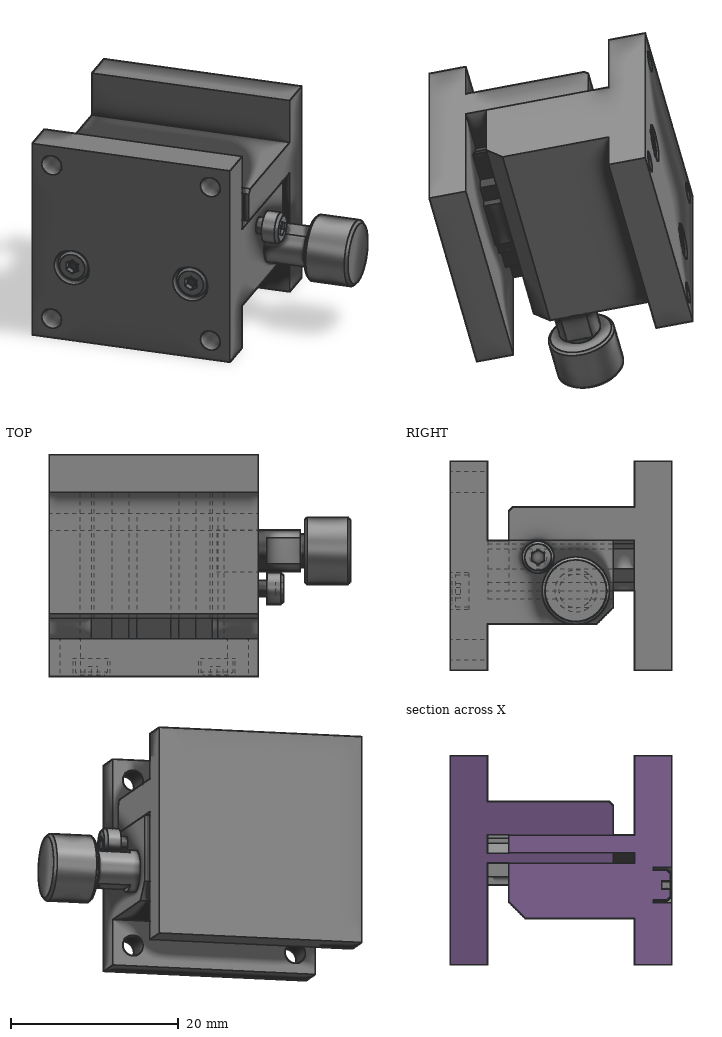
import cadquery as cq
import math


overall_x = 36.0
plate_side = 25.0
plate_thickness = 4.5
overall_y = 26.5
half_side = plate_side / 2
carriage_plate_y = overall_y - plate_thickness
slide_z = 3.02

block_height = 10.0
block_back_gap = 2.5
block_chamfer = 2.0
rail_thickness = 4.0
rail_front_gap = 2.5
rail_chamfer = 0.5
block_back_y = carriage_plate_y - block_back_gap
rail_tip_y = plate_thickness + rail_front_gap

neck_half_width = 7.5
gib_side_half_width = 7.0
slot_right_half_width = 7.65
relief_depth = 0.4
relief_inset = 0.3
neck_depth = 1.0
wing_depth = 3.4
dovetail_angle = 60.0
keel_half_width = 5.0
keel_depth = 5.0
rib_half_width = 3.0
rib_depth = 6.0
channel_half_width = 2.0
channel_depth = 7.0
wing_reach = (wing_depth - neck_depth) / math.tan(math.radians(dovetail_angle))

corner_hole_diameter = 2.5
corner_hole_offset = 10.0

screw_head_diameter = 3.8
screw_head_height = 2.0
screw_head_bevel_radial = 0.32
screw_head_bevel_axial = 0.4
screw_shank_diameter = 2.0
hex_across_flats = 1.5
hex_depth = 1.0
counterbore_diameter = 4.4
head_recess = 0.198
front_screw_offset = 7.5
lock_screw_y = 10.5
lock_screw_z = 1.0
lock_shank_length = 1.0

knob_axis_y = 15.0
knob_axis_z = -3.0
knob_diameter = 8.05
knob_length = 5.5
knob_inner_chamfer = 0.3
knob_outer_chamfer = 0.35
shaft_diameter = 4.05
sleeve_diameter = 5.05
sleeve_length = 5.0
sleeve_insertion = 5.0
wrench_flat_distance = 1.98
wrench_flat_start = 1.0
shaft_length = overall_x - plate_side - sleeve_length - knob_length


def extrude_along_x(points):
    """Prism over the full plate width from a (Y, Z) outline."""
    return cq.Workplane("YZ", origin=(-half_side, 0, 0)).polyline(points).close().extrude(plate_side)


def extrude_along_y(points, start_y, end_y):
    """Prism between two Y positions from an (X, Z) outline."""
    outline = cq.Workplane("XZ", origin=(0, start_y, 0)).polyline(points).close()
    return outline.extrude(start_y - end_y)


def plate(start_y):
    return cq.Workplane("XY").box(
        plate_side, plate_thickness, plate_side, centered=(True, False, True)
    ).translate((0, start_y, 0))


def dovetail_steps():
    """Left and right stepped undersides of the dovetail, wing tip to wing tip."""
    left_tip = -neck_half_width - wing_reach
    right_tip = gib_side_half_width + wing_reach
    wing_z = slide_z - wing_depth
    keel_z = slide_z - keel_depth
    rib_z = slide_z - rib_depth
    left_steps = [
        (left_tip, wing_z),
        (-keel_half_width, wing_z),
        (-keel_half_width, keel_z),
        (-rib_half_width, keel_z),
        (-rib_half_width, rib_z),
    ]
    right_steps = [
        (rib_half_width, rib_z),
        (rib_half_width, keel_z),
        (keel_half_width, keel_z),
        (keel_half_width, wing_z),
        (right_tip, wing_z),
    ]
    return left_steps, right_steps


def make_tongue():
    """Dovetail tongue, with a shallow relief groove where it meets the rail."""
    left_steps, right_steps = dovetail_steps()
    relief_z = slide_z - relief_depth
    neck_z = slide_z - neck_depth
    left_relief_x = -neck_half_width + relief_inset
    right_relief_x = gib_side_half_width - relief_inset
    points = [
        (left_relief_x, slide_z),
        (left_relief_x, relief_z),
        (-neck_half_width, relief_z),
        (-neck_half_width, neck_z),
        *left_steps,
        *right_steps,
        (gib_side_half_width, neck_z),
        (gib_side_half_width, relief_z),
        (right_relief_x, relief_z),
        (right_relief_x, slide_z),
    ]
    return extrude_along_y(points, rail_tip_y, carriage_plate_y)


def make_slot():
    """Slot for the tongue: a gib ledge on the right and a channel in its floor."""
    left_steps, right_steps = dovetail_steps()
    rib_z = slide_z - rib_depth
    channel_z = slide_z - channel_depth
    gib_top_z = slide_z - relief_depth
    neck_z = slide_z - neck_depth
    points = [
        (-neck_half_width, slide_z),
        (-neck_half_width, neck_z),
        *left_steps,
        (-channel_half_width, rib_z),
        (-channel_half_width, channel_z),
        (channel_half_width, channel_z),
        (channel_half_width, rib_z),
        *right_steps,
        (gib_side_half_width, neck_z),
        (gib_side_half_width, gib_top_z),
        (slot_right_half_width, gib_top_z),
        (slot_right_half_width, slide_z),
    ]
    return extrude_along_y(points, plate_thickness, block_back_y)


def make_screw_head(seat):
    """Bevelled head with a hexagon socket, standing on the seat plane."""
    head = (
        cq.Workplane(seat)
        .circle(screw_head_diameter / 2)
        .extrude(screw_head_height)
        .faces(cq.selectors.DirectionMinMaxSelector(seat.zDir))
        .chamfer(screw_head_bevel_axial, screw_head_bevel_radial)
    )
    hex_across_corners = hex_across_flats / math.cos(math.radians(30))
    socket = (
        cq.Workplane(seat)
        .workplane(offset=screw_head_height - hex_depth)
        .polygon(6, hex_across_corners)
        .extrude(hex_depth)
    )
    return head.cut(socket)


def make_block():
    block_bottom_z = slide_z - block_height
    return extrude_along_x([
        (plate_thickness, slide_z),
        (block_back_y, slide_z),
        (block_back_y, block_bottom_z + block_chamfer),
        (block_back_y - block_chamfer, block_bottom_z),
        (plate_thickness, block_bottom_z),
    ])


def make_base():
    """Front plate and slotted block, with the three screws formed in one piece with them."""
    base = plate(0).union(make_block()).cut(make_slot())

    corner_holes = (
        cq.Workplane("XZ")
        .rect(2 * corner_hole_offset, 2 * corner_hole_offset, forConstruction=True)
        .vertices()
        .circle(corner_hole_diameter / 2)
        .extrude(-plate_thickness)
    )
    base = base.cut(corner_holes)

    sleeve_bore = (
        cq.Workplane("YZ", origin=(half_side, knob_axis_y, knob_axis_z))
        .circle(sleeve_diameter / 2)
        .extrude(-sleeve_insertion)
    )
    base = base.cut(sleeve_bore)

    counterbore_depth = screw_head_height + head_recess
    for screw_x in (-front_screw_offset, front_screw_offset):
        seat = cq.Plane(
            origin=(screw_x, counterbore_depth, knob_axis_z), xDir=(0, 0, 1), normal=(0, -1, 0)
        )
        counterbore = cq.Workplane(seat).circle(counterbore_diameter / 2).extrude(counterbore_depth)
        base = base.cut(counterbore).union(make_screw_head(seat))

    lock_plane = cq.Plane(
        origin=(half_side, lock_screw_y, lock_screw_z), xDir=(0, 0, 1), normal=(1, 0, 0)
    )
    lock_shank = cq.Workplane(lock_plane).circle(screw_shank_diameter / 2).extrude(lock_shank_length)
    lock_head = make_screw_head(cq.Workplane(lock_plane).workplane(offset=lock_shank_length).plane)
    return base.union(lock_shank).union(lock_head)


def make_carriage():
    """Rear plate with a rail over the base and the dovetail tongue below the rail."""
    rail_top_z = slide_z + rail_thickness
    rail = extrude_along_x([
        (carriage_plate_y, slide_z),
        (rail_tip_y, slide_z),
        (rail_tip_y, rail_top_z - rail_chamfer),
        (rail_tip_y + rail_chamfer, rail_top_z),
        (carriage_plate_y, rail_top_z),
    ])
    return plate(carriage_plate_y).union(rail).union(make_tongue())


def make_knob():
    """Sleeve with two wrench flats, a short shaft and the chamfered knob."""
    axis = cq.Workplane("YZ", origin=(half_side, knob_axis_y, knob_axis_z))
    sleeve = (
        axis.workplane(offset=-sleeve_insertion)
        .circle(sleeve_diameter / 2)
        .extrude(sleeve_insertion + sleeve_length)
    )
    flat_cut_height = sleeve_diameter / 2 - wrench_flat_distance
    flat_centre = wrench_flat_distance + flat_cut_height / 2
    flats = (
        axis.workplane(offset=wrench_flat_start)
        .pushPoints([(0, flat_centre), (0, -flat_centre)])
        .rect(sleeve_diameter, flat_cut_height)
        .extrude(sleeve_length - wrench_flat_start)
    )
    shaft = axis.workplane(offset=sleeve_length).circle(shaft_diameter / 2).extrude(shaft_length)
    grip = (
        axis.workplane(offset=sleeve_length + shaft_length)
        .circle(knob_diameter / 2)
        .extrude(knob_length)
        .faces("<X")
        .chamfer(knob_inner_chamfer)
        .faces(">X")
        .chamfer(knob_outer_chamfer)
    )
    return sleeve.cut(flats).union(shaft).union(grip)


base = make_base()
carriage = make_carriage()
knob = make_knob()

result = cq.Compound.makeCompound([body.solids().val() for body in (base, carriage, knob)])